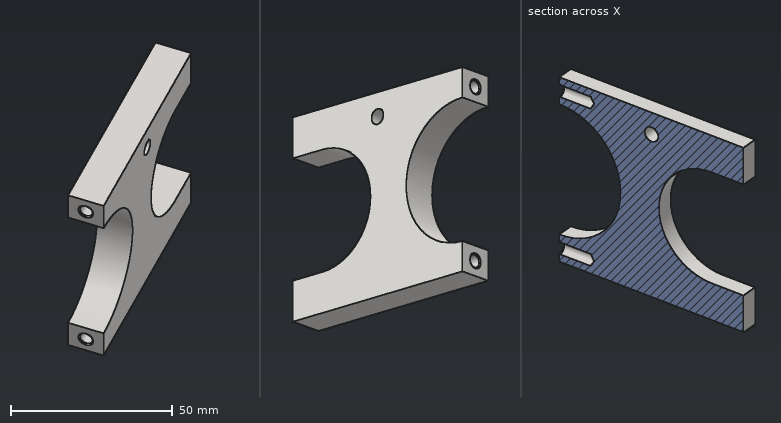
import cadquery as cq
import math

thickness = 12.0
length = 71
height = 67.0

slot_radius = 20.0
slot_depth = 32.5

recess_radius = 23.5

cross_hole_diameter = 5
cross_hole_below_top = 8.0

end_face_height = height / 2 - recess_radius
end_hole_z = height / 2 - end_face_height / 2
end_hole_diameter = 4.2
end_hole_mouth_diameter = 5
end_hole_depth = 12.1
drill_tip_angle = 118
drill_tip_depth = end_hole_diameter / 2 / math.tan(math.radians(drill_tip_angle / 2))


def plate():
    return cq.Workplane("XY").box(thickness, length, height)


def rod_along_x(radius, y, z):
    return (
        cq.Workplane("YZ")
        .center(y, z)
        .circle(radius)
        .extrude(thickness, both=True)
    )


def open_slot():
    end_center_y = length / 2 - slot_depth + slot_radius
    straight_length = length / 2 - end_center_y
    straight = (
        cq.Workplane("XY")
        .box(thickness, straight_length, 2 * slot_radius)
        .translate((0, end_center_y + straight_length / 2, 0))
    )
    return rod_along_x(slot_radius, end_center_y, 0).union(straight)


def end_hole(z):
    """Revolve a drilled hole with a 45 degree mouth chamfer and a conical bottom."""
    radius = end_hole_diameter / 2
    mouth_radius = end_hole_mouth_diameter / 2
    chamfer = mouth_radius - radius
    profile = (
        cq.Workplane("XY")
        .moveTo(0, 0)
        .lineTo(mouth_radius, 0)
        .lineTo(radius, chamfer)
        .lineTo(radius, end_hole_depth)
        .lineTo(0, end_hole_depth + drill_tip_depth)
        .close()
    )
    return profile.revolve(360, (0, 0, 0), (0, 1, 0)).translate((0, -length / 2, z))


result = plate()
result = result.cut(open_slot())
result = result.cut(rod_along_x(recess_radius, -length / 2, 0))
result = result.cut(rod_along_x(cross_hole_diameter / 2, 0, height / 2 - cross_hole_below_top))
for side in (-1, 1):
    result = result.cut(end_hole(side * end_hole_z))